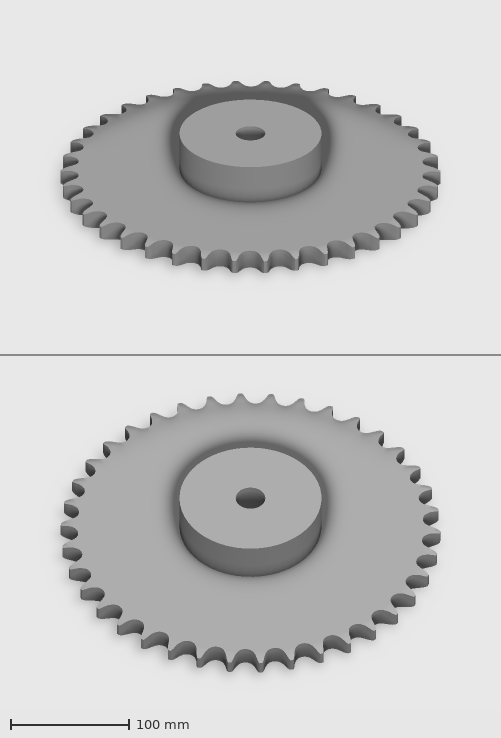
import cadquery as cq
import math

tooth_count = 38
chain_pitch = 25.4
roller_diameter = 15.88
tip_diameter = 320.7
tip_radius = tip_diameter / 2
tooth_width = 16.2
pitch_radius = chain_pitch / (2 * math.sin(math.pi / tooth_count))

seat_clearance = 0.038
seat_radius = 0.50025 * roller_diameter + seat_clearance
seat_end_angle = math.radians(35 + 60 / tooth_count)
working_sweep = math.radians(18 - 56 / tooth_count)
working_offset = 0.8 * roller_diameter
working_radius = working_offset + seat_radius
flank_angle = seat_end_angle - working_sweep
topping_offset = 1.4 * roller_diameter
topping_angle = math.radians(17 - 64 / tooth_count)
straight_length = topping_offset * math.sin(topping_angle) - working_offset * math.sin(working_sweep)
topping_radius = (
    topping_offset * math.cos(topping_angle)
    + working_offset * math.cos(working_sweep)
    - working_radius
)

relief_depth = 2.5
relief_arc_radius = 26.0
relief_height = math.sqrt(2 * relief_arc_radius * relief_depth - relief_depth**2)
relief_start_radius = tip_radius - relief_height

hub_diameter = 120.0
bore_diameter = 25.0
total_height = 50.0

cutter_overrun = 0.5


def make_blank():
    """Revolved disc and hub; the disc rim curves in towards the tooth tips on both faces."""
    hub_radius = hub_diameter / 2
    half_sweep = math.asin(relief_height / relief_arc_radius) / 2
    mid_radius = relief_start_radius + relief_arc_radius * math.sin(half_sweep)
    mid_depth = relief_arc_radius * (1 - math.cos(half_sweep))
    profile = (
        cq.Workplane("XZ")
        .lineTo(relief_start_radius, 0)
        .threePointArc((mid_radius, mid_depth), (tip_radius, relief_depth))
        .lineTo(tip_radius, tooth_width - relief_depth)
        .threePointArc((mid_radius, tooth_width - mid_depth), (relief_start_radius, tooth_width))
        .lineTo(hub_radius, tooth_width)
        .lineTo(hub_radius, total_height)
        .lineTo(0, total_height)
        .close()
    )
    return profile.revolve(360, (0, 0, 0), (0, 1, 0))


def tooth_normal(angle):
    """Unit vector from the gap into the tooth on its +Y side, tilted inwards from +Y by angle."""
    return cq.Vector(-math.sin(angle), math.cos(angle))


def mirrored(point):
    """The matching point on the -Y side of the gap."""
    return cq.Vector(point.x, -point.y)


def topping_point_at(center, radius):
    """Point of the topping arc at a given distance from the sprocket axis, on the gap side."""
    cosine = (center.Length**2 + radius**2 - topping_radius**2) / (2 * center.Length * radius)
    angle = math.atan2(center.y, center.x) - math.acos(cosine)
    return cq.Vector(radius * math.cos(angle), radius * math.sin(angle))


def make_gap_cutter():
    """Prism filling one tooth gap, centred on +X."""
    roller_center = cq.Vector(pitch_radius, 0)
    seat_bottom = cq.Vector(pitch_radius - seat_radius, 0)
    seat_normal = tooth_normal(seat_end_angle)
    mid_normal = tooth_normal(seat_end_angle - working_sweep / 2)
    flank_normal = tooth_normal(flank_angle)
    flank_direction = cq.Vector(math.cos(flank_angle), math.sin(flank_angle))

    seat_end = roller_center + seat_normal * seat_radius
    working_center = roller_center - seat_normal * working_offset
    working_mid = working_center + mid_normal * working_radius
    working_end = working_center + flank_normal * working_radius
    straight_end = working_end + flank_direction * straight_length
    topping_center = straight_end + flank_normal * topping_radius

    outer_radius = tip_radius + cutter_overrun
    topping_mid = topping_point_at(topping_center, (straight_end.Length + outer_radius) / 2)
    topping_end = topping_point_at(topping_center, outer_radius)

    return (
        cq.Workplane("XY")
        .moveTo(topping_end.x, -topping_end.y)
        .threePointArc(mirrored(topping_mid), mirrored(straight_end))
        .lineTo(working_end.x, -working_end.y)
        .threePointArc(mirrored(working_mid), mirrored(seat_end))
        .threePointArc(seat_bottom, seat_end)
        .threePointArc(working_mid, working_end)
        .lineTo(straight_end.x, straight_end.y)
        .threePointArc(topping_mid, topping_end)
        .threePointArc((outer_radius, 0), mirrored(topping_end))
        .close()
        .extrude(tooth_width)
    )


def cut_teeth(blank):
    """Cut all the gaps at once, placed so that a tooth is centred on +X."""
    gap_cutter = make_gap_cutter().val()
    tooth_angle = 360 / tooth_count
    gap_cutters = []
    for index in range(tooth_count):
        gap_angle = (index + 0.5) * tooth_angle
        gap_cutters.append(gap_cutter.rotate(cq.Vector(0, 0, 0), cq.Vector(0, 0, 1), gap_angle))
    return cq.Workplane(blank.val().cut(*gap_cutters))


def cut_bore(body):
    """Plain bore through the hub and disc."""
    bore = cq.Workplane("XY").circle(bore_diameter / 2).extrude(total_height)
    return body.cut(bore)


result = cut_bore(cut_teeth(make_blank())).solids()